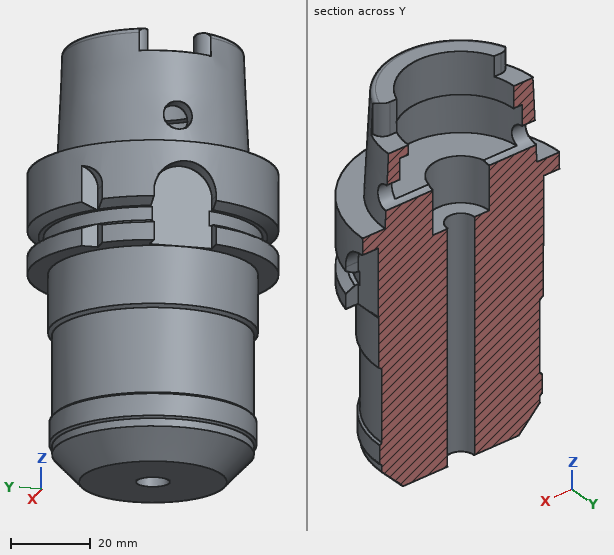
import cadquery as cq

total_height = 112.0
shank_length = 32.0
flange_top = total_height - shank_length
flange_width = 26.0
flange_bottom = flange_top - flange_width

shank_base_radius = 24.3
shank_top_radius = 22.7
mouth_fillet = 1.3

flange_radius = 31.5
groove_radius = 27.4
groove_lip_radius = 28.7
upper_lip_start = 65.4
upper_lip_end = 63.7
lower_lip_end = 59.9
lower_lip_start = 58.6

collar_radius = 26.3
collar_bottom = 38.9
body_radius = 25.3
body_shoulder = 38.1
ring_radius = 26.0
ring_top = 16.0
ring_bottom = 9.7
ring_chamfer = 0.6
nose_cone_top = 7.2
nose_radius = 18.5

mouth_bore_radius = 16.8
mouth_bore_depth = 13.0
undercut_radius = 19.5
bore_depth = 26.2
lower_bore_radius = 9.0
lower_bore_depth = 40.3
through_radius = 4.3

cross_hole_radius = 3.7
cross_hole_height = 88.9

keyway_half_width = 6.3
keyway_corner_radius = 3.0
left_keyway_depth = 6.2
right_keyway_depth = 10.0

drive_slot_radius = 8.1
drive_slot_top = 74.8
drive_slot_floor = 26.4
index_notch_radius = 6.0
index_notch_top = 75.2
index_notch_floor = 20.3
index_notch_edge = 19.8

cut_reach = 2 * flange_radius


def make_body():
    """Revolve the outer profile, with a rounded shank mouth."""
    profile = [
        (0, 0),
        (nose_radius, 0),
        (body_radius, nose_cone_top),
        (body_radius, ring_bottom - ring_chamfer),
        (ring_radius, ring_bottom),
        (ring_radius, ring_top - ring_chamfer),
        (body_radius, ring_top),
        (body_radius, body_shoulder),
        (collar_radius, collar_bottom),
        (collar_radius, flange_bottom),
        (flange_radius, flange_bottom),
        (flange_radius, lower_lip_start),
        (groove_lip_radius, lower_lip_end),
        (groove_radius, lower_lip_end),
        (groove_radius, upper_lip_end),
        (groove_lip_radius, upper_lip_end),
        (flange_radius, upper_lip_start),
        (flange_radius, flange_top),
        (shank_base_radius, flange_top),
        (shank_top_radius, total_height),
        (0, total_height),
    ]
    body = cq.Workplane("XZ").polyline(profile).close().revolve(360, (0, 0), (0, 1))
    return body.faces(">Z").edges().fillet(mouth_fillet)


def make_bores():
    """Stepped bore: mouth, undercut, lower bore and through hole."""
    undercut_top = total_height - mouth_bore_depth
    bore_floor = total_height - bore_depth
    lower_floor = total_height - lower_bore_depth
    profile = [
        (0, 0),
        (through_radius, 0),
        (through_radius, lower_floor),
        (lower_bore_radius, lower_floor),
        (lower_bore_radius, bore_floor),
        (undercut_radius, bore_floor),
        (undercut_radius, undercut_top),
        (mouth_bore_radius, undercut_top),
        (mouth_bore_radius, total_height),
        (0, total_height),
    ]
    return cq.Workplane("XZ").polyline(profile).close().revolve(360, (0, 0), (0, 1))


def make_keyway(side, depth):
    """Keyway on one side (-1 or +1 along X) with walls flaring out in quarter rounds."""
    half = keyway_half_width
    flare = half + keyway_corner_radius
    outer_x = side * (shank_top_radius**2 - flare**2) ** 0.5
    inner_x = outer_x - side * keyway_corner_radius
    round_mid = keyway_corner_radius * 0.5**0.5
    mid_x = inner_x + side * round_mid
    mid_y = flare - round_mid
    end_x = side * cut_reach
    return (
        cq.Workplane("XY", origin=(0, 0, total_height - depth))
        .moveTo(0, -half)
        .lineTo(inner_x, -half)
        .threePointArc((mid_x, -mid_y), (outer_x, -flare))
        .lineTo(end_x, -flare)
        .lineTo(end_x, flare)
        .lineTo(outer_x, flare)
        .threePointArc((mid_x, mid_y), (inner_x, half))
        .lineTo(0, half)
        .close()
        .extrude(depth)
    )


def make_flange_slot(side, center_y, radius, top, floor):
    """Round-topped slot, open at the flange underside, with a flat floor at |X| = floor."""
    return (
        cq.Workplane("YZ", origin=(side * floor, 0, 0))
        .moveTo(center_y - radius, flange_bottom)
        .lineTo(center_y - radius, top - radius)
        .threePointArc((center_y, top), (center_y + radius, top - radius))
        .lineTo(center_y + radius, flange_bottom)
        .close()
        .extrude(side * cut_reach)
    )


result = make_body().cut(make_bores())

cross_hole = (
    cq.Workplane("YZ")
    .center(0, cross_hole_height)
    .circle(cross_hole_radius)
    .extrude(cut_reach, both=True)
)
result = result.cut(cross_hole)

for side, keyway_depth in ((-1, left_keyway_depth), (1, right_keyway_depth)):
    result = result.cut(make_keyway(side, keyway_depth))
    drive_slot = make_flange_slot(side, 0, drive_slot_radius, drive_slot_top, drive_slot_floor)
    result = result.cut(drive_slot)

index_notch = make_flange_slot(
    -1,
    index_notch_edge + index_notch_radius,
    index_notch_radius,
    index_notch_top,
    index_notch_floor,
)
result = result.cut(index_notch)